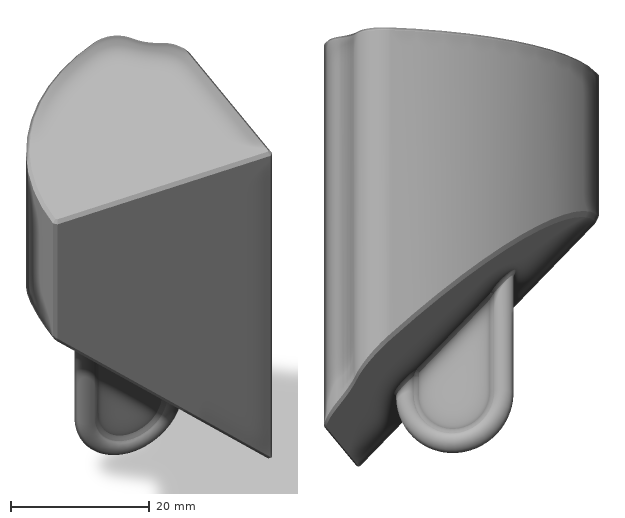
import cadquery as cq
import math

body_width = 35.25
body_depth = 35.6
overall_height = 58.55
back_height = 57.5
edge_chamfer = 0.5

front_radius = 37.25
corner_radius = 4.5
hollow_radius = 6.45
back_corner_x = -26.2

hook_x = -13.25
hook_y = -16.75
bar_radius = 1.5
bend_radius = 7.1
back_leg_y = hook_y + bend_radius
front_leg_y = hook_y - bend_radius
bend_z = bend_radius + bar_radius - overall_height
leg_top = 2 * bar_radius - back_height - front_leg_y
web_thickness = 1.0
hook_chamfer = 0.45


def point_towards(start, target, distance):
    """Point at a given distance from start on the line to target."""
    share = distance / math.dist(start, target)
    return tuple(a + share * (b - a) for a, b in zip(start, target))


def make_outline():
    """Plan outline in which all neighbouring arcs are tangent."""
    front_center = (0, front_radius - body_depth)
    back_center = (back_corner_x, -corner_radius)
    left_x = corner_radius - body_width
    center_gap = front_radius - corner_radius
    left_center = (left_x, front_center[1] - math.sqrt(center_gap**2 - left_x**2))

    span = math.dist(back_center, left_center)
    offset = math.sqrt((corner_radius + hollow_radius) ** 2 - (span / 2) ** 2)
    hollow_center = (
        (back_center[0] + left_center[0]) / 2 - offset * (back_center[1] - left_center[1]) / span,
        (back_center[1] + left_center[1]) / 2 + offset * (back_center[0] - left_center[0]) / span,
    )

    hollow_start = point_towards(back_center, hollow_center, corner_radius)
    hollow_end = point_towards(left_center, hollow_center, corner_radius)
    front_start = point_towards(front_center, left_center, front_radius)
    front_end = (0, -body_depth)
    chord_middle = ((front_start[0] + front_end[0]) / 2, (front_start[1] + front_end[1]) / 2)
    front_middle = point_towards(front_center, chord_middle, front_radius)
    return (
        cq.Workplane("XY")
        .lineTo(back_corner_x, 0)
        .tangentArcPoint(hollow_start, relative=False)
        .tangentArcPoint(hollow_end, relative=False)
        .tangentArcPoint(front_start, relative=False)
        .threePointArc(front_middle, front_end)
        .close()
    )


def underside_z(y):
    """Height of the sloping underside at a given depth."""
    return -back_height - y


def make_body():
    prism = make_outline().extrude(-back_height)
    side_profile = (
        cq.Workplane("YZ")
        .polyline([(0, 0), (0, underside_z(0)), (-back_height, 0)])
        .close()
        .extrude(-body_width)
    )
    body = prism.intersect(side_profile)
    body = body.edges("|Z and >X").chamfer(edge_chamfer)
    body = body.faces(">Z").chamfer(edge_chamfer)
    return body.faces(">(0, -1, -1)").chamfer(edge_chamfer)


def hook_center_line():
    """U-shaped line with both leg ends buried in the body."""
    return (
        cq.Workplane("YZ", origin=(hook_x, 0, 0))
        .moveTo(back_leg_y, leg_top)
        .lineTo(back_leg_y, bend_z)
        .threePointArc((hook_y, bend_z - bend_radius), (front_leg_y, bend_z))
        .lineTo(front_leg_y, leg_top)
    )


def make_hook():
    leg_section = cq.Workplane("XY", origin=(hook_x, back_leg_y, leg_top)).circle(bar_radius)
    bar = leg_section.sweep(hook_center_line())
    web = hook_center_line().close().extrude(web_thickness / 2, both=True)
    return bar.union(web)


joined = make_body().union(make_hook())

reach = bend_radius + bar_radius + hook_chamfer
joint_edges = cq.selectors.BoxSelector(
    (hook_x - reach, hook_y - reach, -overall_height),
    (hook_x + reach, hook_y + reach, underside_z(hook_y - reach)),
    boundingbox=True,
)
result = joined.edges(joint_edges).chamfer(hook_chamfer)